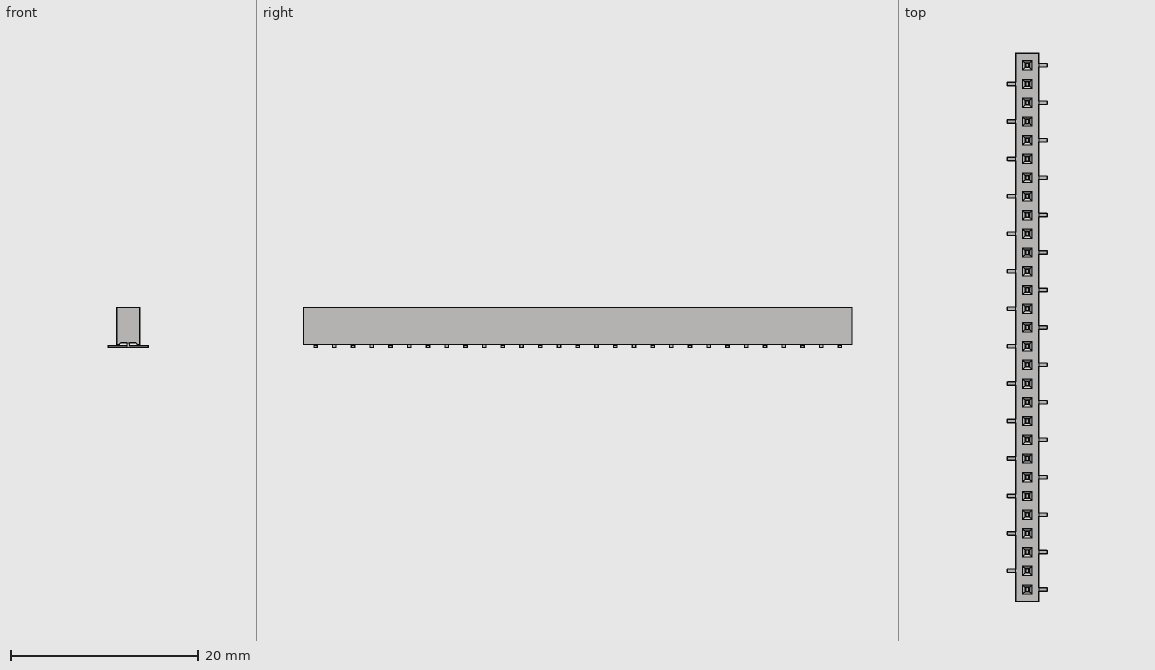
import cadquery as cq

CONTACT_COUNT = 29
PITCH = 2.0
ROW_LENGTH = (CONTACT_COUNT - 1) * PITCH
HEIGHT = 4.3
SPAN = 4.3

BODY_WIDTH = 2.5
END_MARGIN = 1.3
BODY_LENGTH = ROW_LENGTH + 2 * END_MARGIN
BODY_BOTTOM = 0.3

RECESS_DEPTH = 0.2
RECESS_TOP_WIDTH = 1.6
RECESS_MOUTH_WIDTH = 2.0

OPENING_SIDE = 1.0
BORE_SIDE = 0.5
FUNNEL_DEPTH = (OPENING_SIDE - BORE_SIDE) / 2
BORE_FLOOR = 1.5

LEAD_WIDTH = 0.4
FOOT_THICKNESS = 0.2
FOOT_TIP_RADIUS = 0.1
STEM_THICKNESS = 0.3
STEM_TOP = 3.0


def box_on(x_size, y_size, z_size, base_centre):
    """Box standing on the given point, centred on it in X and Y."""
    box = cq.Workplane("XY").box(x_size, y_size, z_size, centered=(True, True, False))
    return box.translate(base_centre)


def make_housing():
    """Rectangular bar with a tapered channel along its underside."""
    bar = box_on(BODY_WIDTH, BODY_LENGTH, HEIGHT - BODY_BOTTOM, (0, 0, BODY_BOTTOM))
    recess_top = BODY_BOTTOM + RECESS_DEPTH
    channel = (
        cq.Workplane("XZ")
        .moveTo(-RECESS_MOUTH_WIDTH / 2, BODY_BOTTOM)
        .lineTo(-RECESS_TOP_WIDTH / 2, recess_top)
        .lineTo(RECESS_TOP_WIDTH / 2, recess_top)
        .lineTo(RECESS_MOUTH_WIDTH / 2, BODY_BOTTOM)
        .close()
        .extrude(BODY_LENGTH / 2, both=True)
    )
    return bar.cut(channel)


def make_socket(y):
    """Space of one socket: the funnel and the blind bore below it."""
    funnel = (
        cq.Workplane("XY", origin=(0, y, HEIGHT))
        .rect(OPENING_SIDE, OPENING_SIDE)
        .workplane(offset=-FUNNEL_DEPTH)
        .rect(BORE_SIDE, BORE_SIDE)
        .loft(ruled=True)
    )
    bore = box_on(BORE_SIDE, BORE_SIDE, HEIGHT - BORE_FLOOR, (0, y, BORE_FLOOR))
    return funnel.union(bore)


def make_contact(y, side):
    """Stem on the row centre line with a foot toward +X (side 1) or -X (side -1)."""
    stem = box_on(STEM_THICKNESS, LEAD_WIDTH, STEM_TOP, (0, y, 0))
    foot_length = SPAN / 2 + STEM_THICKNESS / 2
    foot_x = side * (SPAN / 2 - foot_length / 2)
    foot = box_on(foot_length, LEAD_WIDTH, FOOT_THICKNESS, (foot_x, y, 0))
    tip_face = ">X" if side > 0 else "<X"
    foot = foot.faces(tip_face).edges("|Z").fillet(FOOT_TIP_RADIUS)
    return stem.union(foot)


def as_compound(parts):
    """Gather separate parts so that one boolean handles them all."""
    return cq.Workplane(cq.Compound.makeCompound([part.val() for part in parts]))


sockets = []
contacts = []
for index in range(CONTACT_COUNT):
    contact_y = index * PITCH - ROW_LENGTH / 2
    foot_side = 1 if index % 2 == 0 else -1
    sockets.append(make_socket(contact_y))
    contacts.append(make_contact(contact_y, foot_side))

result = make_housing().cut(as_compound(sockets)).union(as_compound(contacts))